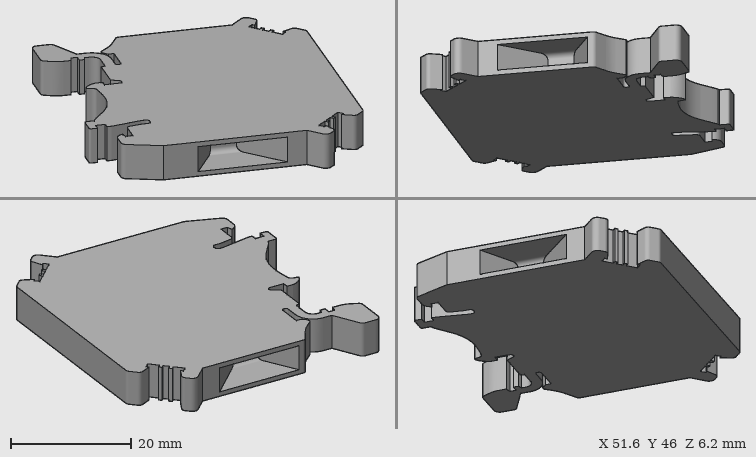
import cadquery as cq
import math

length = 51.65
height = 46.0
thickness = 6.2
body_half_width = 23.4

seat_center_y = 39.45
seat_half_length = 3.2
seat_wall_height = 1.05
lip_overhang = 0.5
arm_flare = 0.85
arm_out = 3.35
arm_back = 6.05
arm_tip_along = seat_half_length - lip_overhang
arm_mouth_along = arm_tip_along + arm_flare
arm_mouth_radius = 0.8
arm_end_radius = 1.05
arm_end_inset = (arm_back + arm_out - 2 * arm_end_radius) / math.sqrt(2)
seat_center_x = length / 2 - arm_end_radius - arm_end_inset
rib_inner = 0.55
rib_outer = 1.2
rib_height = 0.65
top_corner_radius = 0.8

left_wall_end_y = 14.7
left_wall_radius = 0.8
nose_y = 10.65
nose_left_x = -18.15
nose_right_x = -17.65
nose_bend = (-20.15, 12.8)
nose_bend_radius = 6.2
slit_top_y = 12.5
slit_bottom_y = 11.5
slit_left_x = -16.8
slit_end_x = -12.1
slit_end_radius = 0.4

leg_thickness = 1.85
bend_outer_radius = 3.4
bend_inner_radius = bend_outer_radius - leg_thickness
bend_x = -14.8
bend_y = slit_bottom_y - bend_outer_radius
leg_bottom_y = slit_bottom_y - leg_thickness
leg_outer_x = bend_x - bend_outer_radius
leg_inner_x = bend_x - bend_inner_radius
foot_slope_top_y = 6.45
foot_slope_bottom_y = 3.6
foot_corner_radius = 0.8
foot_bottom_left_radius = 1.05
foot_right_x = -15.8
foot_bend_y = 2.55
foot_bend_radius = 4.65
foot_bottom_right_x = -17.0
rail_ledge_y = 6.2
rail_ledge_x = -15.6
rail_ledge_top_y = 7.35
rail_notch_x = -16.85
rail_notch_y = 5.05
rail_edge_slope = 0.2

underside_y = 8.95
underside_left_x = -11.8
underside_right_x = -6.05
gap_top_y = 10.55
gap_radius = 0.4
gap_left_x = -5.2
gap_right_x = -4.35
claw_top_y = 7.45
claw_left_x = -5.4
claw_back_y = 6.2
claw_back_middle = (-4.85, 4.95)
claw_tip_y = 4.1
claw_tip_left_x = -3.85
claw_tip_right_x = -3.5
claw_tip_radius = 0.15

arch_start = (-3.35, 4.95)
arch_shoulder = (-2.65, 5.7)
arch_crown_x = 1.15
arch_crown_y = 6.05
arch_radius = 9.2
arch_angle = math.radians(38)
ramp_length = 2.55
ramp_blend_end = (9.7, 1.85)

stop_left_x = 10.05
stop_right_x = 13.25
stop_neck_x = 12.05
stop_neck_bottom_y = 1.4
stop_neck_top_y = 3.05
stop_left_top_y = 1.75
stop_lug_x = 13.05
stop_lug_top_y = 3.9
stop_radius = 0.35

slot_left_x = 12.05
slot_right_x = 13.55
slot_left_taper_y = 9.35
slot_right_taper_y = 9.0
slot_radius = 0.5
right_recess_y = 6.2
right_recess_left_x = 14.0
right_recess_right_x = 17.85
right_recess_radius = 0.65
right_hook_top_y = 4.95
right_hook_tip = (16.85, 4.7)
right_hook_middle = (17.35, 3.85)
right_foot_y = 3.45
right_foot_left_x = 18.15
right_foot_corner_x = 21.0
right_foot_radius = 1.05
right_wall_end_y = 9.95

funnel_bottom_y = 15.95
funnel_top_y = 31.4
funnel_floor_bottom_y = 20.0
funnel_floor_top_y = 24.45
funnel_depth = funnel_top_y - funnel_floor_top_y
funnel_width = 4.5
funnel_floor_radius = 1.0


def seat_point(side, along, out):
    """Point of a marker seat; side is -1 for the left corner and 1 for the right corner."""
    from_center_x = seat_center_x + (out - along) / math.sqrt(2)
    return (side * from_center_x, seat_center_y + (along + out) / math.sqrt(2))


def seat_outline(side):
    """Corner points from the body wall, around the marker seat, to the top edge."""
    wall_out = (body_half_width - seat_center_x) * math.sqrt(2) - arm_back
    top_along = (height - seat_center_y) * math.sqrt(2) - arm_out
    layout = [
        (-arm_back, wall_out),
        (-arm_back, arm_out),
        (-arm_mouth_along, arm_out),
        (-arm_tip_along, seat_wall_height),
        (-seat_half_length, seat_wall_height),
        (-seat_half_length, 0),
        (-rib_outer, 0),
        (-rib_outer, rib_height),
        (-rib_inner, rib_height),
        (-rib_inner, 0),
        (rib_inner, 0),
        (rib_inner, rib_height),
        (rib_outer, rib_height),
        (rib_outer, 0),
        (seat_half_length, 0),
        (seat_half_length, seat_wall_height),
        (arm_tip_along, seat_wall_height),
        (arm_mouth_along, arm_out),
        (top_along, arm_out),
    ]
    return [seat_point(side, along, out) for along, out in layout]


def draw_lines(sketch, points):
    for x, y in points:
        sketch = sketch.lineTo(x, y)
    return sketch


def bend_middle(radius):
    """Point half way around the quarter bend of the spring leg."""
    return (bend_x - radius / math.sqrt(2), bend_y + radius / math.sqrt(2))


def draw_nose_and_leg(sketch):
    """From the left wall around the nose, the slit, the spring leg and its foot."""
    sketch = sketch.lineTo(-body_half_width, left_wall_end_y)
    sketch = draw_lines(sketch, [
        nose_bend,
        (nose_left_x, nose_y),
        (nose_right_x, nose_y),
        (slit_left_x, slit_bottom_y),
        (slit_left_x, slit_top_y),
        (slit_end_x, slit_top_y),
        (slit_end_x, slit_bottom_y),
        (bend_x, slit_bottom_y),
    ])
    sketch = sketch.threePointArc(bend_middle(bend_outer_radius), (leg_outer_x, bend_y))
    sketch = draw_lines(sketch, [
        (leg_outer_x, foot_slope_top_y),
        (-body_half_width, foot_slope_bottom_y),
        (-body_half_width, 0),
        (foot_bottom_right_x, 0),
        (foot_right_x, foot_bend_y),
        (foot_right_x, rail_notch_y - rail_edge_slope),
        (rail_notch_x, rail_notch_y),
        (rail_notch_x, rail_ledge_y),
        (rail_ledge_x, rail_ledge_y),
        (rail_ledge_x, rail_ledge_top_y - rail_edge_slope),
        (leg_inner_x, rail_ledge_top_y),
        (leg_inner_x, bend_y),
    ])
    return sketch.threePointArc(bend_middle(bend_inner_radius), (bend_x, leg_bottom_y))


def arch_point(angle):
    """Point of the rail arch, at an angle past its crown."""
    drop = arch_radius * (1 - math.cos(angle))
    return (arch_crown_x + arch_radius * math.sin(angle), arch_crown_y - drop)


def draw_underside(sketch):
    """From the spring leg past the claw and the rail arch to the rail stop."""
    sketch = draw_lines(sketch, [
        (slit_end_x, leg_bottom_y),
        (underside_left_x, underside_y),
        (underside_right_x, underside_y),
        (gap_left_x, gap_top_y),
        (gap_right_x, gap_top_y),
        (gap_right_x, claw_top_y),
        (claw_left_x, claw_top_y),
        (claw_left_x, claw_back_y),
    ])
    sketch = sketch.threePointArc(claw_back_middle, (claw_tip_left_x, claw_tip_y))
    sketch = sketch.lineTo(claw_tip_right_x, claw_tip_y)
    sketch = sketch.lineTo(*arch_start)
    for arc_end in [arch_shoulder, (arch_crown_x, arch_crown_y)]:
        sketch = sketch.tangentArcPoint(arc_end, relative=False)
    sketch = sketch.threePointArc(arch_point(arch_angle / 2), arch_point(arch_angle))
    sketch = sketch.line(ramp_length * math.cos(arch_angle), -ramp_length * math.sin(arch_angle))
    sketch = sketch.tangentArcPoint(ramp_blend_end, relative=False)
    return draw_lines(sketch, [
        (stop_left_x, stop_left_top_y),
        (stop_left_x, 0),
        (stop_right_x, 0),
        (stop_right_x, stop_neck_bottom_y),
        (stop_neck_x, stop_neck_bottom_y),
        (stop_neck_x, stop_neck_top_y),
        (stop_lug_x, stop_neck_top_y),
        (stop_lug_x, stop_lug_top_y),
    ])


def draw_right_foot(sketch):
    """From the rail stop through the slot and around the right foot to the right wall."""
    sketch = draw_lines(sketch, [
        (slot_left_x, slot_left_taper_y),
        (slot_left_x, gap_top_y),
        (slot_right_x, gap_top_y),
        (slot_right_x, slot_right_taper_y),
        (right_recess_left_x, right_recess_y),
        (right_recess_right_x, right_recess_y),
        (right_recess_right_x, right_hook_top_y),
        right_hook_tip,
    ])
    sketch = sketch.threePointArc(right_hook_middle, (right_foot_left_x, right_foot_y))
    sketch = sketch.lineTo(right_foot_corner_x, right_foot_y)
    return sketch.lineTo(body_half_width, right_wall_end_y)


def round_corners(solid, radius, corners):
    """Round the upright edges that stand on the given outline corners."""
    for x, y in corners:
        edge = cq.selectors.NearestToPointSelector((x, y, thickness / 2))
        solid = solid.edges("|Z").edges(edge).fillet(radius)
    return solid


def make_housing():
    left_seat = seat_outline(-1)
    right_seat = seat_outline(1)
    sketch = cq.Workplane("XY").moveTo(*left_seat[0])
    sketch = draw_nose_and_leg(sketch)
    sketch = draw_underside(sketch)
    sketch = draw_right_foot(sketch)
    sketch = draw_lines(sketch, right_seat + left_seat[:0:-1])
    housing = sketch.close().extrude(thickness)

    for seat in (left_seat, right_seat):
        housing = round_corners(housing, arm_end_radius, [seat[1]])
        housing = round_corners(housing, arm_mouth_radius, [seat[2], seat[-2]])
        housing = round_corners(housing, top_corner_radius, [seat[-1]])

    housing = round_corners(housing, left_wall_radius, [(-body_half_width, left_wall_end_y)])
    housing = round_corners(housing, nose_bend_radius, [nose_bend])
    housing = round_corners(housing, slit_end_radius, [
        (slit_end_x, slit_top_y),
        (slit_end_x, slit_bottom_y),
    ])
    housing = round_corners(housing, foot_corner_radius, [
        (-body_half_width, foot_slope_bottom_y),
        (foot_bottom_right_x, 0),
    ])
    housing = round_corners(housing, foot_bottom_left_radius, [(-body_half_width, 0)])
    housing = round_corners(housing, foot_bend_radius, [(foot_right_x, foot_bend_y)])
    housing = round_corners(housing, claw_tip_radius, [(claw_tip_right_x, claw_tip_y)])
    housing = round_corners(housing, gap_radius, [(gap_left_x, gap_top_y), (gap_right_x, gap_top_y)])
    housing = round_corners(housing, stop_radius, [(stop_left_x, 0), (stop_right_x, 0)])
    housing = round_corners(housing, right_recess_radius, [(right_recess_left_x, right_recess_y)])
    housing = round_corners(housing, slot_radius, [(slot_left_x, gap_top_y), (slot_right_x, gap_top_y)])
    return round_corners(housing, right_foot_radius, [(right_foot_corner_x, right_foot_y)])


def make_funnel():
    """Wire entry of the left wall: tapered in Y, with a floor rounded into its two flat sides."""
    floor_x = -body_half_width + funnel_depth
    funnel = (
        cq.Workplane("XY", origin=(0, 0, (thickness - funnel_width) / 2))
        .moveTo(-body_half_width, funnel_bottom_y)
        .lineTo(floor_x, funnel_floor_bottom_y)
        .lineTo(floor_x, funnel_floor_top_y)
        .lineTo(-body_half_width, funnel_top_y)
        .close()
        .extrude(funnel_width)
    )
    return funnel.faces(">X").edges("|Y").fillet(funnel_floor_radius)


funnel = make_funnel()
result = make_housing().cut(funnel).cut(funnel.mirror("YZ"))